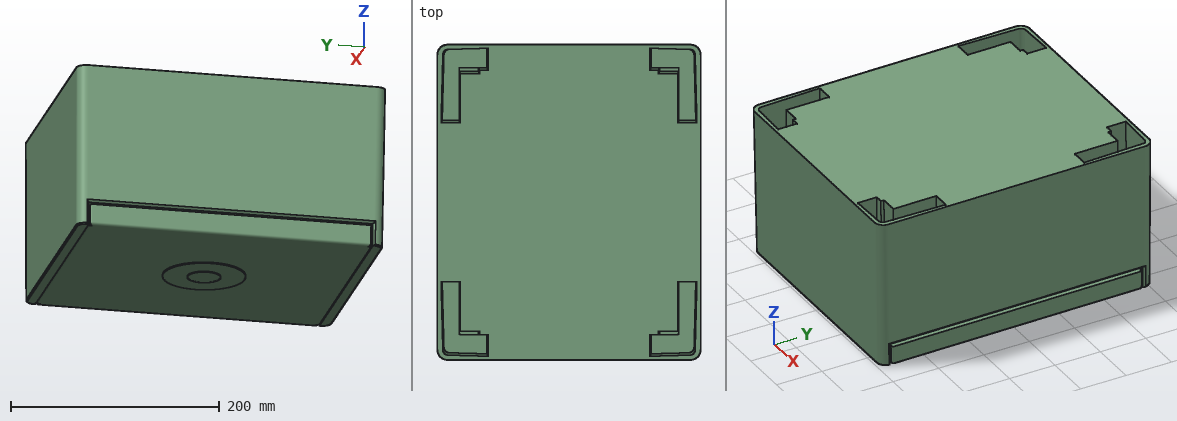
import cadquery as cq
import math

LENGTH = 302.5
WIDTH = 252.5
HOUSING_HEIGHT = 160.0
CORNER_RADIUS = 10.0
DRAFT = 0.5
TILT = 0.5
BOTTOM_CHAMFER = 1.2

SLOT_LENGTH = 278.3
SLOT_HEIGHT = 22.5
SLOT_FLARE = 2.0
FLARE_ANGLE = 45

PAD_INSET = 20.5
PAD_RADIUS = 9.0

LID_GAP = 2.5
LID_DROP = 0.3
LID_END_GAP = 1.8
LID_END_STEP = 3.0
LID_BOTTOM_FILLET = 2.5
LID_CORNER_FILLET = 1.2

BOSS_RADIUS = 40.0
BOSS_HEIGHT = 1.2
BOSS_CENTRE_RADIUS = 16.0
BOSS_CENTRE_HEIGHT = 2.0

POCKET_DEPTH = 134.5
POCKET_CORNER_X = 5.5
POCKET_CORNER_Y = 4.8
POCKET_END_X = 3.5
POCKET_END_Y = 3.5
POCKET_CORNER_RADIUS = 5.0
ARM_INNER_X = 22.0
ARM_INNER_Y = 24.5
ARM_END_X = 48.7
ARM_END_Y = 75.0
NOTCH_END_X = 40.5
NOTCH_INNER_Y = 27.8
NOTCH_DEPTH = 130.0
NOTCH_OVERLAP = 9.0

bottom_z = -HOUSING_HEIGHT
lid_bottom_z = bottom_z - LID_DROP
slot_top_z = bottom_z + SLOT_HEIGHT
lid_top_z = slot_top_z - LID_GAP
draft_at_bottom = HOUSING_HEIGHT * math.tan(math.radians(DRAFT))
bottom_width = WIDTH - 2 * draft_at_bottom
bottom_length = LENGTH - 2 * draft_at_bottom


def level_box(size_x, size_y, z_low, z_high):
    """Box centred on the Z axis between two heights."""
    return cq.Workplane("XY", origin=(0, 0, z_low)).rect(size_x, size_y).extrude(z_high - z_low)


def drafted_block(height):
    """Outer shape of the part, narrowing downward from the top face."""
    block = cq.Workplane("XY").rect(WIDTH, LENGTH).extrude(-height, taper=DRAFT)
    return block.edges("not #Z").fillet(CORNER_RADIUS)


def slot_cutter():
    """Slot through both X sides, flared at its open ends, that spares the pad."""
    z_below = bottom_z - SLOT_HEIGHT
    cutter = level_box(2 * WIDTH, SLOT_LENGTH, z_below, slot_top_z)
    flare_length = SLOT_LENGTH + 2 * SLOT_FLARE
    flare_height = 2 * (SLOT_HEIGHT + SLOT_FLARE)
    flare = (
        cq.Workplane("YZ", origin=(-bottom_width / 2 - SLOT_FLARE, 0, bottom_z))
        .rect(flare_length + 2 * SLOT_FLARE, flare_height + 2 * SLOT_FLARE)
        .extrude(2 * SLOT_FLARE, taper=FLARE_ANGLE)
    )
    pad = level_box(
        bottom_width - 2 * PAD_INSET, bottom_length - 2 * PAD_INSET, lid_top_z, slot_top_z
    )
    pad = pad.edges("|Z").fillet(PAD_RADIUS)
    return cutter.union(flare).union(flare.mirror("YZ")).cut(pad)


def corner_pocket():
    """L-shaped pocket with its notch, in the (-X, -Y) corner."""
    corner = cq.Workplane("XY", origin=(-WIDTH / 2, -LENGTH / 2, 0))
    arms = corner.polyline([
        (POCKET_CORNER_X, POCKET_CORNER_Y),
        (ARM_END_X, POCKET_END_Y),
        (ARM_END_X, ARM_INNER_Y),
        (ARM_INNER_X, ARM_INNER_Y),
        (ARM_INNER_X, ARM_END_Y),
        (POCKET_END_X, ARM_END_Y),
    ]).close().extrude(-POCKET_DEPTH, taper=DRAFT)
    corner_side = cq.selectors.NearestToPointSelector(
        (POCKET_CORNER_X - WIDTH / 2, POCKET_CORNER_Y - LENGTH / 2, -POCKET_DEPTH / 2)
    )
    arms = arms.edges(corner_side).fillet(POCKET_CORNER_RADIUS)
    notch = corner.polyline([
        (POCKET_CORNER_X, ARM_INNER_Y - NOTCH_OVERLAP),
        (NOTCH_END_X, ARM_INNER_Y - NOTCH_OVERLAP),
        (NOTCH_END_X, NOTCH_INNER_Y),
        (POCKET_CORNER_X, NOTCH_INNER_Y),
    ]).close().extrude(-NOTCH_DEPTH, taper=DRAFT)
    return arms.union(notch)


def make_housing():
    body = drafted_block(HOUSING_HEIGHT).faces("<Z").chamfer(BOTTOM_CHAMFER)
    body = body.cut(slot_cutter())
    left_pocket = corner_pocket()
    for pocket in (left_pocket, left_pocket.mirror("YZ")):
        body = body.cut(pocket).cut(pocket.mirror("XZ"))
    return body


def make_lid():
    """Plate in the slot, flush with both X sides and stepped at its Y ends."""
    panel_length = SLOT_LENGTH - 2 * LID_END_GAP
    panel = level_box(WIDTH, panel_length, lid_bottom_z, lid_top_z)
    panel = panel.intersect(drafted_block(HOUSING_HEIGHT + LID_DROP))
    panel = panel.edges("not #Z").fillet(LID_CORNER_FILLET)
    panel = panel.faces("<Z").edges().fillet(LID_BOTTOM_FILLET)
    core = level_box(bottom_width - 2 * LID_END_STEP, SLOT_LENGTH, lid_bottom_z, lid_top_z)
    core = core.edges("<Z").fillet(LID_BOTTOM_FILLET)
    underside = cq.Workplane("XY", origin=(0, 0, lid_bottom_z))
    boss = underside.circle(BOSS_RADIUS).extrude(-BOSS_HEIGHT)
    boss_centre = underside.circle(BOSS_CENTRE_RADIUS).extrude(-BOSS_CENTRE_HEIGHT)
    return panel.union(core).union(boss).union(boss_centre)


tilt = cq.Location(cq.Vector(0, 0, 0), cq.Vector(1, 0, 0), TILT)
housing = make_housing().solids().val().moved(tilt)
lid = make_lid().solids().val().moved(tilt)
result = cq.Compound.makeCompound([housing, lid])